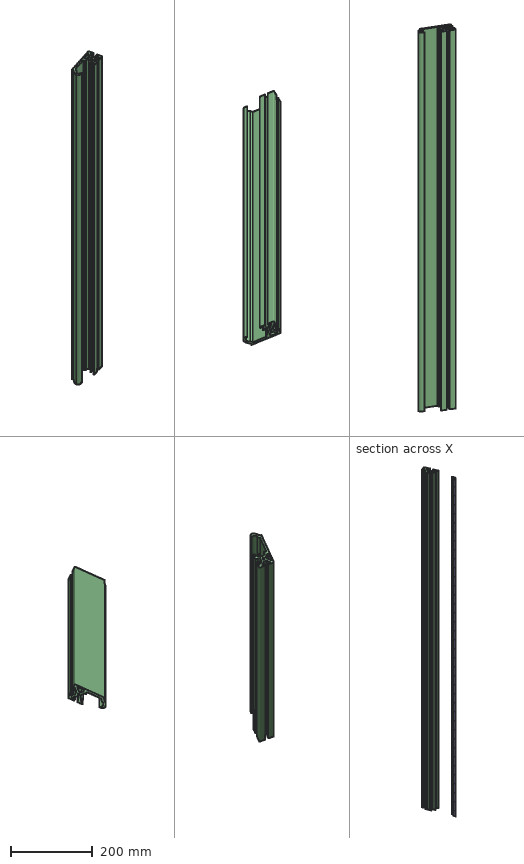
import cadquery as cq
import math

length = 1000.0
head = 39.0
depth = 93.0
corner_radius = 2.0

middle = head / 2
core = 15.0
core_low = middle - core / 2
core_high = middle + core / 2
corner_block = 9.0
strut = 6.0
flange_strut_depth = 32.0
bore_diameter = 5.0
flange = 3.5
top_slot_opening = 9.0
top_lip_depth = 7.0
top_lip_width = 1.5
side_slot_top = 17.0
side_slot_bottom = 25.0
side_lip_width = 7.0
side_lip_height = 4.0

wall = 6.0
wall_bottom = 81.0
nib_bottom = 36.0
left_nib_width = 6.0
right_nib_width = 1.0

hook_outer_radius = 8.5
hook_inner_radius = 7.0
hook_center_x = 19.0
hook_outer_center_y = hook_outer_radius - depth
foot_start = 10.0
hook_tip = 79.0
hook_shoulder = 74.0


def block(left, right, top, bottom):
    """Full-length bar; top and bottom are distances below the head's top face."""
    return cq.Workplane("XY").box(right - left, bottom - top, length, centered=False).translate(
        (left, -bottom, 0)
    )


def diagonal_strut(x, y):
    """Web from the middle of the core to a point near one corner of the head."""
    span_x = x - middle
    span_y = y + middle
    return (
        cq.Workplane("XY")
        .center((x + middle) / 2, (y - middle) / 2)
        .transformed(rotate=(0, 0, math.degrees(math.atan2(span_y, span_x))))
        .rect(math.hypot(span_x, span_y), strut)
        .extrude(length)
    )


def make_head():
    body = block(core_low, core_high, core_low, core_high)
    near = corner_block / 2
    far = head - near
    for x, y in [(near, -near), (far, -near), (near, -far), (head - flange / 2, -flange_strut_depth)]:
        body = body.union(diagonal_strut(x, y))

    slot_left = middle - top_slot_opening / 2
    slot_right = middle + top_slot_opening / 2
    parts = [
        block(0, corner_block, 0, corner_block),
        block(head - corner_block, head, 0, corner_block),
        block(0, slot_left, 0, flange),
        block(slot_right, head, 0, flange),
        block(slot_left - top_lip_width, slot_left, 0, top_lip_depth),
        block(slot_right, slot_right + top_lip_width, 0, top_lip_depth),
    ]

    lip_left = head - side_lip_width
    parts += [
        block(head - flange, head, 0, side_slot_top),
        block(head - flange, head, side_slot_bottom, head),
        block(lip_left, head, side_slot_top - side_lip_height, side_slot_top),
        block(lip_left, head, side_slot_bottom, side_slot_bottom + side_lip_height),
    ]
    for part in parts:
        body = body.union(part)
    bore = cq.Workplane("XY").center(middle, -middle).circle(bore_diameter / 2).extrude(length)
    return body.cut(bore)


def make_wall():
    left_nib = block(0, wall + left_nib_width, head - core_low, nib_bottom)
    right_nib = block(core_high - right_nib_width, core_high, core_high, nib_bottom)
    upper_wall = block(0, flange, 0, core_high)
    lower_wall = block(0, wall, core_high, wall_bottom)
    return lower_wall.union(upper_wall).union(left_nib).union(right_nib)


def make_hook():
    """Sloped web from the wall into a rounded, upward-opening cup."""
    tip_right = hook_center_x + hook_outer_radius
    tip_left = hook_center_x + hook_inner_radius
    inner_left = hook_center_x - hook_inner_radius
    diagonal = math.sqrt(0.5) * hook_outer_radius
    return (
        cq.Workplane("XY")
        .moveTo(0, -wall_bottom)
        .lineTo(flange, -wall_bottom)
        .lineTo(foot_start, -wall_bottom - (foot_start - flange))
        .tangentArcPoint((hook_center_x, -depth), relative=False)
        .threePointArc(
            (hook_center_x + diagonal, hook_outer_center_y - diagonal),
            (tip_right, hook_outer_center_y),
        )
        .lineTo(tip_right, -hook_tip)
        .lineTo(tip_left, -hook_tip)
        .threePointArc(
            (hook_center_x, -hook_tip - hook_inner_radius),
            (inner_left, -hook_tip),
        )
        .lineTo(wall, -hook_shoulder)
        .lineTo(0, -hook_shoulder)
        .close()
        .extrude(length)
    )


def round_upper_corners(body):
    """Round the two outer corners at the top of the head."""
    for x in (0, head):
        body = body.edges(cq.selectors.NearestToPointSelector((x, 0, length / 2))).fillet(corner_radius)
    return body


result = round_upper_corners(make_head().union(make_wall()).union(make_hook()).clean())